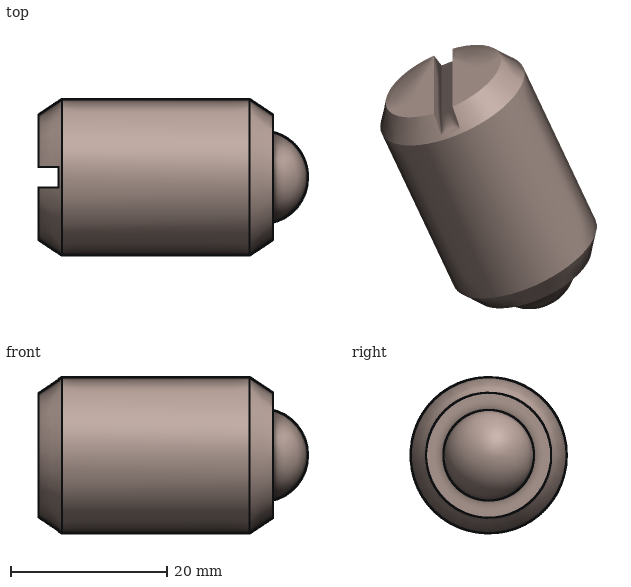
import cadquery as cq

overall_length = 34.5
body_length = 30.0
body_diameter = 20.0
end_diameter = 16.0
chamfer_length = 3.0
slot_width = 2.6
slot_depth = 2.55
ball_diameter = 12.0

body_radius = body_diameter / 2
end_radius = end_diameter / 2
ball_radius = ball_diameter / 2
ball_center_x = overall_length - ball_radius


def make_ball():
    """Ball that protrudes from the +X end, revolved about the X axis."""
    return (
        cq.Workplane("XY")
        .moveTo(ball_center_x - ball_radius, 0)
        .threePointArc((ball_center_x, ball_radius), (overall_length, 0))
        .close()
        .revolve(360, (0, 0, 0), (1, 0, 0))
    )


def make_blank():
    """Cylinder with a conical chamfer at each end."""
    return (
        cq.Workplane("XY")
        .moveTo(0, 0)
        .lineTo(0, end_radius)
        .lineTo(chamfer_length, body_radius)
        .lineTo(body_length - chamfer_length, body_radius)
        .lineTo(body_length, end_radius)
        .lineTo(body_length, 0)
        .close()
        .revolve(360, (0, 0, 0), (1, 0, 0))
    )


def make_slot():
    """Screwdriver slot across the full height of the -X end."""
    return cq.Workplane("XY").box(
        slot_depth, slot_width, body_diameter, centered=(False, True, True)
    )


def make_housing(ball):
    """Slotted housing with a spherical seat that matches the ball."""
    return make_blank().cut(make_slot()).cut(ball)


ball = make_ball()
housing = make_housing(ball)

result = cq.Compound.makeCompound([housing.solids().val(), ball.val()])